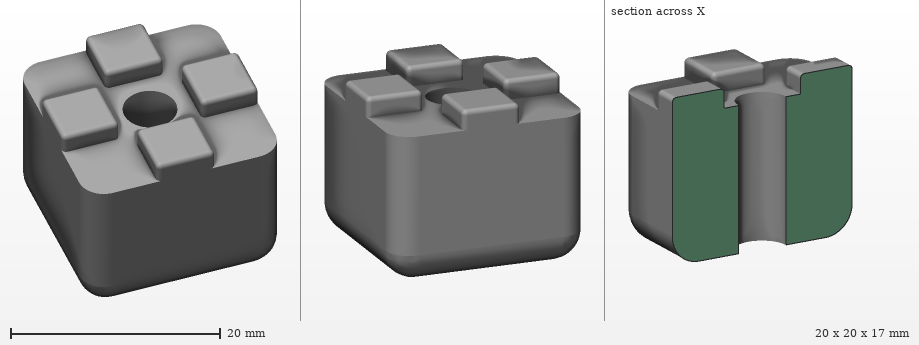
import cadquery as cq

side = 20.0
body_height = 15.0
corner_radius = 2.5
bottom_radius = 3.0
bore_diameter = 5.25

pad_width = 5.92
pad_length = 5.8
pad_height = 2.0
pad_radius = 0.5
pad_count = 4


def make_body():
    """Square block with rounded upright corners and a rounded bottom rim."""
    block = cq.Workplane("XY").box(side, side, body_height, centered=(True, True, False))
    block = block.edges("|Z").fillet(corner_radius)
    return block.faces("<Z").edges().fillet(bottom_radius)


def make_pad():
    """Pad at the +X side, rounded on its upright and top edges."""
    pad = (
        cq.Workplane("XY", origin=((side - pad_length) / 2, 0, body_height))
        .box(pad_length, pad_width, pad_height, centered=(True, True, False))
    )
    return pad.edges("|Z or >Z").fillet(pad_radius)


result = make_body()
for index in range(pad_count):
    angle = index * 360 / pad_count
    result = result.union(make_pad().rotate((0, 0, 0), (0, 0, 1), angle))

bore = cq.Workplane("XY").circle(bore_diameter / 2).extrude(body_height)
result = result.cut(bore)